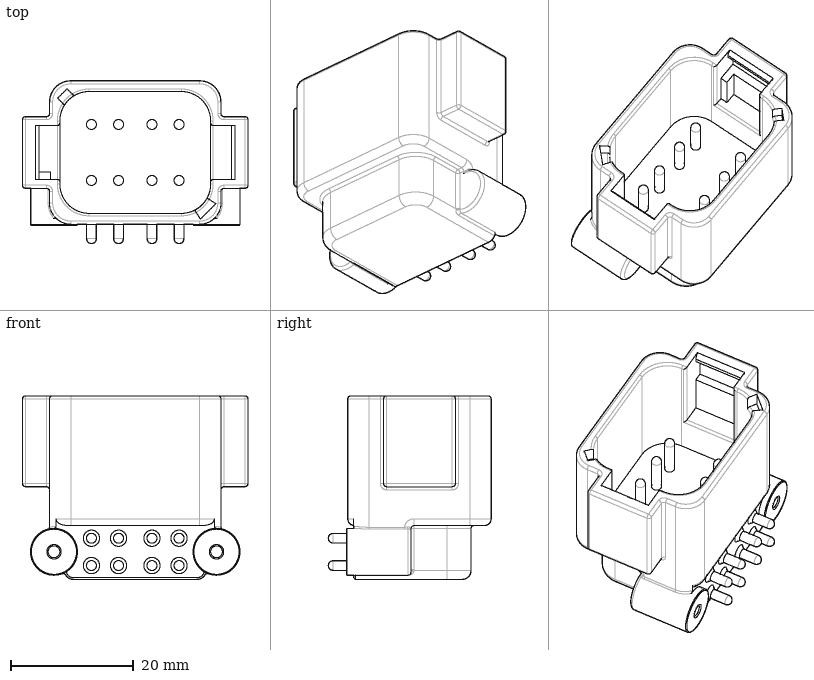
import cadquery as cq
import math


TOTAL_WIDTH = 36.75
TOTAL_HEIGHT = 29.9
EDGE_FILLET = 0.5

SHELL_WIDTH = 27.93
SHELL_DEPTH = 23.37
SHELL_CORNER = 3.5
SHELL_BOTTOM = 8.8
SHELL_BOTTOM_FILLET = 1.1

EAR_DEPTH = 11.7
EAR_BOTTOM = 15.1

CAVITY_WIDTH = 24.55
CAVITY_DEPTH = 19.85
CAVITY_CORNER = 4.78
CAVITY_FLOOR = 10.1
CAVITY_RIM_FILLET = 0.4
POCKET_WIDTH = 31.3
POCKET_DEPTH = 8.8
POCKET_FLOOR = 16.65
LIP_CHAMFER_WIDTH = 0.55
LIP_CHAMFER_HEIGHT = 1.05
LIP_HEIGHT = 1.65
LATCH_RECESS = 1.4
LATCH_LEDGE = 23.65

KEY_WIDTH = 1.87
KEY_DEPTH = 1.2

NOTCH_REACH = 15.18
NOTCH_LENGTH = 2.2
NOTCH_DROP = 2.43
REAR_NOTCH_ANGLE = 135
REAR_NOTCH_WIDTH = 2.15
REAR_NOTCH_FLARE = 0
FRONT_NOTCH_ANGLE = -45
FRONT_NOTCH_WIDTH = 3.53
FRONT_NOTCH_FLARE = 12

FRONT_FACE = -10.73
BASE_WIDTH = 23.08
BASE_REAR = 8.4
BASE_CORNER = 3.97
BASE_BOTTOM_FILLET = 1.5
BASE_FRONT_CHAMFER = 0.3
BASE_TOP_FILLET = 0.48
PEDESTAL_FILLET = 0.48

BOSS_RADIUS = 3.82
BOSS_X = 13.23
BOSS_Z = 4.52
BOSS_FRONT = -11.9
BOSS_REAR = -1.35
BOSS_REAR_FILLET = 0.48
BOSS_FRONT_CHAMFER = 0.15
BOSS_FLARE_FILLET = 0.3
BOSS_HOLE_DIAMETER = 1.9
BOSS_HOLE_CHAMFER = 0.22
BOSS_HOLE_DEPTH = 7.35

PIN_DIAMETER = 1.6
PIN_INNER_X = 2.72
PIN_OUTER_X = 7.13
CAVITY_PIN_Y = 4.55
CAVITY_PIN_TOP = 17.15
BOARD_PIN_ROWS = (2.28, 6.73)
BOARD_PIN_TIP = -14.85
PIN_COLLAR_DIAMETER = 2.65
PIN_COLLAR_HEIGHT = 0.6

PIN_COLUMNS = (-PIN_OUTER_X, -PIN_INNER_X, PIN_INNER_X, PIN_OUTER_X)
SIDES = (-1, 1)


def block(x_range, y_range, z_range):
    """Axis-aligned box between the given limits."""
    size = [high - low for low, high in (x_range, y_range, z_range)]
    corner = (x_range[0], y_range[0], z_range[0])
    return cq.Workplane("XY").box(*size, centered=False).translate(corner)


def rounded_prism(width, depth, corner, bottom, top):
    """Upright prism with rounded corners, centred on the Z axis."""
    prism = cq.Workplane("XY").workplane(offset=bottom).rect(width, depth).extrude(top - bottom)
    return prism.edges("|Z").fillet(corner)


def shell_outline(bottom):
    """Plain shell body standing on the given height."""
    return rounded_prism(SHELL_WIDTH, SHELL_DEPTH, SHELL_CORNER, bottom, TOTAL_HEIGHT)


def make_shell():
    """Rounded shell whose middle part continues downwards as a pedestal for the bosses."""
    front = shell_outline(SHELL_BOTTOM).faces("<Z").edges().fillet(SHELL_BOTTOM_FILLET)
    front = front.intersect(
        block((-SHELL_WIDTH, SHELL_WIDTH), (-SHELL_DEPTH, FRONT_FACE), (0, TOTAL_HEIGHT))
    )

    arc_offset = PEDESTAL_FILLET * (1 - math.sqrt(0.5))
    arc_end_y = BOSS_REAR + PEDESTAL_FILLET
    arc_start_z = SHELL_BOTTOM - PEDESTAL_FILLET
    side_profile = (
        cq.Workplane("YZ")
        .moveTo(FRONT_FACE, TOTAL_HEIGHT)
        .lineTo(FRONT_FACE, BOSS_Z)
        .lineTo(BOSS_REAR, BOSS_Z)
        .lineTo(BOSS_REAR, arc_start_z)
        .threePointArc(
            (BOSS_REAR + arc_offset, SHELL_BOTTOM - arc_offset),
            (arc_end_y, SHELL_BOTTOM),
        )
        .lineTo(SHELL_DEPTH, SHELL_BOTTOM)
        .lineTo(SHELL_DEPTH, TOTAL_HEIGHT)
        .close()
        .extrude(SHELL_WIDTH, both=True)
    )
    rear = shell_outline(BOSS_Z).intersect(side_profile)
    rear = rear.edges(cq.NearestToPointSelector((0, SHELL_DEPTH / 2, SHELL_BOTTOM)))
    rear = rear.fillet(SHELL_BOTTOM_FILLET)
    return rear.union(front)


def add_ears(shell):
    """Rounded box on each side of the shell, level with its rim."""
    for side in SIDES:
        ear = block(
            (0, TOTAL_WIDTH / 2), (-EAR_DEPTH / 2, EAR_DEPTH / 2), (EAR_BOTTOM, TOTAL_HEIGHT)
        )
        ear = ear.edges("|Z and >X").fillet(EDGE_FILLET)
        ear = ear.faces("<Z").edges().fillet(EDGE_FILLET)
        shell = shell.union(ear.rotate((0, 0, 0), (0, 0, 1), 0 if side > 0 else 180))
    return shell


def round_ear_joints(body):
    """Concave rounds where the ears meet the shell, and a round along the rim."""
    for side in SIDES:
        joint = cq.NearestToPointSelector((side * SHELL_WIDTH / 2, 0, EAR_BOTTOM))
        body = body.edges(joint).fillet(EDGE_FILLET)
    return body.faces(">Z").edges().fillet(EDGE_FILLET)


def make_base():
    """Block below the shell whose flat front face carries the board pins."""
    base = block((-BASE_WIDTH / 2, BASE_WIDTH / 2), (FRONT_FACE, BASE_REAR), (0, CAVITY_FLOOR))
    base = base.edges("|Z and >Y").fillet(BASE_CORNER)
    base = base.edges("<Z and (not <Y)").fillet(BASE_BOTTOM_FILLET)
    return base.faces("<Y").edges("<Z").chamfer(BASE_FRONT_CHAMFER)


def make_boss(side):
    """Horizontal mounting cylinder beside the base."""
    boss = cq.Workplane("XZ", origin=(side * BOSS_X, BOSS_REAR, BOSS_Z))
    boss = boss.circle(BOSS_RADIUS).extrude(BOSS_REAR - BOSS_FRONT)
    boss = boss.faces(">Y").edges().fillet(BOSS_REAR_FILLET)
    return boss.faces("<Y").edges().chamfer(BOSS_FRONT_CHAMFER)


def make_body():
    """Solid outer form: shell, ears, base and bosses with their concave rounds."""
    body = round_ear_joints(add_ears(make_shell())).union(make_base())
    for side in SIDES:
        body = body.union(make_boss(side))
        flare_point = (side * SHELL_WIDTH / 2, FRONT_FACE / 2, BOSS_Z + BOSS_RADIUS)
        flare = cq.NearestToPointSelector(flare_point)
        body = body.edges(flare).fillet(BOSS_FLARE_FILLET)
    base_top = cq.NearestToPointSelector((0, BASE_REAR, SHELL_BOTTOM))
    return body.edges(base_top).fillet(BASE_TOP_FILLET)


def make_latch_pocket(side):
    """Opening into an ear, with a sloped lip above an undercut for the mating latch."""
    wall = POCKET_WIDTH / 2
    lip_bottom = TOTAL_HEIGHT - LIP_HEIGHT
    pocket = (
        cq.Workplane("XZ", origin=(0, POCKET_DEPTH / 2, 0))
        .moveTo(0, POCKET_FLOOR)
        .lineTo(wall, POCKET_FLOOR)
        .lineTo(wall, LATCH_LEDGE)
        .lineTo(wall + LATCH_RECESS, LATCH_LEDGE)
        .lineTo(wall + LATCH_RECESS, lip_bottom)
        .lineTo(wall, lip_bottom)
        .lineTo(wall, TOTAL_HEIGHT - LIP_CHAMFER_HEIGHT)
        .lineTo(wall + LIP_CHAMFER_WIDTH, TOTAL_HEIGHT)
        .lineTo(0, TOTAL_HEIGHT)
        .close()
        .extrude(POCKET_DEPTH)
    )
    return pocket.rotate((0, 0, 0), (0, 0, 1), 0 if side > 0 else 180)


def make_polarity_key():
    """Post in the front corner of the left pocket."""
    wall = -POCKET_WIDTH / 2
    front = -POCKET_DEPTH / 2
    return block((wall, wall + KEY_WIDTH), (front, front + KEY_DEPTH), (POCKET_FLOOR, LATCH_LEDGE))


def cut_rim_notch(body, angle, width, side_flare):
    """Notch across the corner of the rim at the given angle, with a rounded sill.

    The width is measured at the outer wall; the side walls flare outwards by side_flare degrees.
    """
    inner_reach = NOTCH_REACH - NOTCH_LENGTH
    inner_width = width - 2 * NOTCH_LENGTH * math.tan(math.radians(side_flare))
    offset = (SHELL_WIDTH - SHELL_DEPTH) / 2 * math.sqrt(0.5)
    floor = TOTAL_HEIGHT - NOTCH_DROP
    notch = (
        cq.Workplane("XY")
        .polyline(
            [
                (inner_reach, -inner_width / 2),
                (NOTCH_REACH, -width / 2),
                (NOTCH_REACH, width / 2),
                (inner_reach, inner_width / 2),
            ]
        )
        .close()
        .extrude(NOTCH_DROP)
        .translate((0, offset, floor))
        .rotate((0, 0, 0), (0, 0, 1), angle)
    )
    body = body.cut(notch)
    corner_x = CAVITY_WIDTH / 2 - CAVITY_CORNER * (1 - math.sqrt(0.5))
    corner_y = CAVITY_DEPTH / 2 - CAVITY_CORNER * (1 - math.sqrt(0.5))
    toward_x = math.copysign(corner_x, math.cos(math.radians(angle)))
    toward_y = math.copysign(corner_y, math.sin(math.radians(angle)))
    sill = cq.NearestToPointSelector((toward_x, toward_y, floor))
    return body.edges(sill).fillet(CAVITY_RIM_FILLET)


def cut_cavity(body):
    """Hollow the shell, open the ears and round the edges of the mouth."""
    cavity = rounded_prism(CAVITY_WIDTH, CAVITY_DEPTH, CAVITY_CORNER, CAVITY_FLOOR, TOTAL_HEIGHT)
    body = body.cut(cavity)
    wall_x = CAVITY_WIDTH / 2
    wall_y = CAVITY_DEPTH / 2
    mouth = cq.NearestToPointSelector((0, wall_y, TOTAL_HEIGHT))
    mouth += cq.NearestToPointSelector((0, -wall_y, TOTAL_HEIGHT))
    for side in SIDES:
        body = body.cut(make_latch_pocket(side))
        mouth += cq.NearestToPointSelector((side * wall_x, 0, POCKET_FLOOR))
        for pocket_wall in (POCKET_DEPTH / 2, -POCKET_DEPTH / 2):
            mouth += cq.NearestToPointSelector((side * wall_x, pocket_wall, LATCH_LEDGE))
    return body.edges(mouth).fillet(CAVITY_RIM_FILLET)


def make_pin(length):
    """Round pin along +Z with a domed tip at the given length."""
    pin = cq.Workplane("XY").circle(PIN_DIAMETER / 2).extrude(length - PIN_DIAMETER / 2)
    tip = cq.Workplane("XY").sphere(PIN_DIAMETER / 2).translate((0, 0, length - PIN_DIAMETER / 2))
    return pin.union(tip)


def make_board_pin():
    """Pin with a conical collar, pointing along -Y from the origin."""
    collar = cq.Workplane("XY").circle(PIN_COLLAR_DIAMETER / 2)
    collar = collar.workplane(offset=PIN_COLLAR_HEIGHT).circle(PIN_DIAMETER / 2).loft()
    pin = make_pin(FRONT_FACE - BOARD_PIN_TIP).union(collar)
    return pin.rotate((0, 0, 0), (1, 0, 0), 90)


def cut_boss_holes(body):
    """Blind screw hole with a chamfered mouth in the front of each boss."""
    radius = BOSS_HOLE_DIAMETER / 2
    hole = cq.Workplane("XZ").circle(radius).extrude(-BOSS_HOLE_DEPTH)
    mouth = cq.Workplane("XZ").circle(radius + BOSS_HOLE_CHAMFER)
    mouth = mouth.workplane(offset=-BOSS_HOLE_CHAMFER).circle(radius).loft()
    hole = hole.union(mouth)
    for side in SIDES:
        body = body.cut(hole.translate((side * BOSS_X, BOSS_FRONT, BOSS_Z)))
    return body


def add_pins(body):
    """Two rows of pins standing in the cavity and two rows leaving the front face."""
    cavity_pin = make_pin(CAVITY_PIN_TOP - CAVITY_FLOOR)
    board_pin = make_board_pin()
    for pin_x in PIN_COLUMNS:
        for side in SIDES:
            body = body.union(cavity_pin.translate((pin_x, side * CAVITY_PIN_Y, CAVITY_FLOOR)))
        for pin_z in BOARD_PIN_ROWS:
            body = body.union(board_pin.translate((pin_x, FRONT_FACE, pin_z)))
    return body


result = cut_cavity(make_body())
result = cut_rim_notch(result, REAR_NOTCH_ANGLE, REAR_NOTCH_WIDTH, REAR_NOTCH_FLARE)
result = cut_rim_notch(result, FRONT_NOTCH_ANGLE, FRONT_NOTCH_WIDTH, FRONT_NOTCH_FLARE)
result = result.union(make_polarity_key())
result = cut_boss_holes(result)
result = add_pins(result)